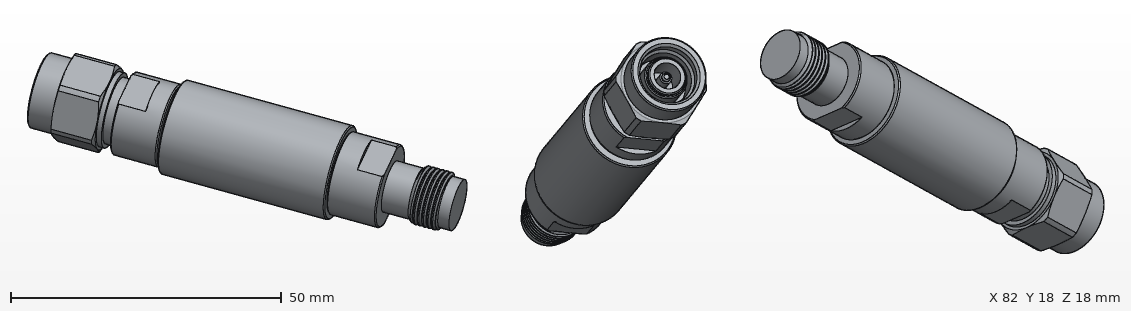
import cadquery as cq
import math

TOTAL_LENGTH = 82.0
HEX_START = 5.0
HEX_END = 13.6
NUT_END = 14.6
MALE_BODY_START = 16.6
MALE_FLAT_END = 22.05
MALE_BODY_END = 25.7
SLEEVE_START = 26.2
SLEEVE_END = 59.0
FEMALE_BODY_START = SLEEVE_END
FEMALE_FLAT_START = 63.6
FEMALE_BODY_END = 68.7
THREAD_START = 74.0
THREAD_END = 79.8

NUT_RADIUS = 7.2
HEX_SIDES = 6
HEX_ACROSS_FLATS = 15.6
HEX_CORNER_RADIUS = 8.7
HEX_FRONT_CHAMFER = 0.25
HEX_REAR_CHAMFER = 0.4
HEX_CHAMFER_DEPTH = 0.9
NUT_BORE_RADIUS = 5.0
NUT_RIM_CHAMFER = 0.25
NUT_MOUTH_RADIUS = 5.5
NUT_MOUTH_CHAMFER = 0.5
NUT_MOUTH_DEPTH = 2.0
NUT_MOUTH_TAPER = 0.5

BODY_RADIUS = 7.95
WRENCH_FLAT_WIDTH = 13.9
BODY_EDGE_CHAMFER = 0.25
NECK_RADIUS = 6.4
SPIGOT_RADIUS = NECK_RADIUS
SPIGOT_LENGTH = 3.3
BARREL_RADIUS = 4.9

FERRULE_START = 1.1
FERRULE_RADIUS = 4.1
FERRULE_TIP_RADIUS = 3.4
FERRULE_CHAMFER = 0.25
FERRULE_NOSE_RADIUS = FERRULE_TIP_RADIUS + FERRULE_CHAMFER
FERRULE_NOSE_LENGTH = 0.8
FERRULE_ROOT = 6.6
INSULATOR_RADIUS = 2.55
INSULATOR_START = FERRULE_ROOT
PIN_RADIUS = 1.15
PIN_TIP_RADIUS = 0.8
PIN_TIP_CHAMFER = 0.3
PIN_TIP_LENGTH = 0.6
PIN_START = 1.55
CONTACT_END = MALE_BODY_START

SLEEVE_RADIUS = 9.0
SLEEVE_CHAMFER = 0.25

THREAD_RADIUS = 5.6
THREAD_PITCH = 0.9
THREAD_DEPTH = 0.5
THREAD_GROOVE_WIDTH = 0.65
THREAD_FRONT_CHAMFER = 0.7
THREAD_REAR_CHAMFER = 0.4
THREAD_GROOVE_START = 72.8
THREAD_GROOVE_TURNS = 9
CUT_MARGIN = 0.1


def revolved(profile):
    """Turn an outline of (x, radius) points around the X axis."""
    return cq.Workplane("XY").polyline(profile).close().revolve(360, (0, 0, 0), (1, 0, 0))


def rod(start, end, radius):
    """Solid cylinder along the X axis."""
    return cq.Workplane("YZ").workplane(offset=start).circle(radius).extrude(end - start)


def make_nut():
    """Round nut with a chamfered hexagon and a bore that opens out at the mouth."""
    hex_diameter = HEX_ACROSS_FLATS / math.cos(math.pi / HEX_SIDES)
    hexagon = (
        cq.Workplane("YZ").workplane(offset=HEX_START)
        .polygon(HEX_SIDES, hex_diameter).extrude(HEX_END - HEX_START)
    )
    chamfered_radius = HEX_CORNER_RADIUS - HEX_CHAMFER_DEPTH
    envelope = revolved([
        (HEX_START, 0),
        (HEX_START, chamfered_radius),
        (HEX_START + HEX_FRONT_CHAMFER, HEX_CORNER_RADIUS),
        (HEX_END - HEX_REAR_CHAMFER, HEX_CORNER_RADIUS),
        (HEX_END, chamfered_radius),
        (HEX_END, 0),
    ])
    bore = revolved([
        (0, 0),
        (0, NUT_MOUTH_RADIUS + NUT_MOUTH_CHAMFER),
        (NUT_MOUTH_CHAMFER, NUT_MOUTH_RADIUS),
        (NUT_MOUTH_DEPTH, NUT_MOUTH_RADIUS),
        (NUT_MOUTH_DEPTH + NUT_MOUTH_TAPER, NUT_BORE_RADIUS),
        (NUT_END, NUT_BORE_RADIUS),
        (NUT_END, 0),
    ])
    barrel = rod(0, NUT_END, NUT_RADIUS).faces("<X").chamfer(NUT_RIM_CHAMFER)
    return barrel.union(hexagon.intersect(envelope)).cut(bore)


def cut_wrench_flats(body, start, end):
    """Mill two parallel flats, facing up and down, between two stations."""
    flat_band = cq.Workplane("XY").box(
        end - start, 2 * BODY_RADIUS, 2 * BODY_RADIUS, centered=(False, True, True)
    )
    kept = cq.Workplane("XY").box(
        end - start, 2 * BODY_RADIUS, WRENCH_FLAT_WIDTH, centered=(False, True, True)
    )
    return body.cut(flat_band.cut(kept).translate((start, 0, 0)))


def make_male_body():
    """Stem inside the nut, with a stepped ferrule in front and a spigot into the sleeve behind."""
    body = revolved([
        (FERRULE_START, 0),
        (FERRULE_START, FERRULE_TIP_RADIUS),
        (FERRULE_START + FERRULE_CHAMFER, FERRULE_NOSE_RADIUS),
        (FERRULE_START + FERRULE_NOSE_LENGTH, FERRULE_NOSE_RADIUS),
        (FERRULE_START + FERRULE_NOSE_LENGTH, FERRULE_RADIUS - FERRULE_CHAMFER),
        (FERRULE_START + FERRULE_NOSE_LENGTH + FERRULE_CHAMFER, FERRULE_RADIUS),
        (FERRULE_ROOT, FERRULE_RADIUS),
        (FERRULE_ROOT, NUT_BORE_RADIUS),
        (NUT_END, NUT_BORE_RADIUS),
        (NUT_END, NECK_RADIUS),
        (MALE_BODY_START, NECK_RADIUS),
        (MALE_BODY_START, BODY_RADIUS - BODY_EDGE_CHAMFER),
        (MALE_BODY_START + BODY_EDGE_CHAMFER, BODY_RADIUS),
        (MALE_BODY_END - BODY_EDGE_CHAMFER, BODY_RADIUS),
        (MALE_BODY_END, BODY_RADIUS - BODY_EDGE_CHAMFER),
        (MALE_BODY_END, SPIGOT_RADIUS),
        (SLEEVE_START + SPIGOT_LENGTH, SPIGOT_RADIUS),
        (SLEEVE_START + SPIGOT_LENGTH, 0),
    ])
    body = cut_wrench_flats(body, MALE_BODY_START, MALE_FLAT_END)
    return body.cut(rod(FERRULE_START, CONTACT_END, INSULATOR_RADIUS))


def make_insulator():
    """Bead that fills the ferrule bore behind its open mouth and carries the pin."""
    return rod(INSULATOR_START, CONTACT_END, INSULATOR_RADIUS).cut(
        rod(INSULATOR_START, CONTACT_END, PIN_RADIUS)
    )


def make_pin():
    """Centre contact with a thinner, chamfered tip."""
    return revolved([
        (PIN_START, 0),
        (PIN_START, PIN_TIP_RADIUS - PIN_TIP_CHAMFER),
        (PIN_START + PIN_TIP_CHAMFER, PIN_TIP_RADIUS),
        (PIN_START + PIN_TIP_LENGTH, PIN_TIP_RADIUS),
        (PIN_START + PIN_TIP_LENGTH, PIN_RADIUS),
        (CONTACT_END, PIN_RADIUS),
        (CONTACT_END, 0),
    ])


def make_sleeve():
    """Central cylinder with a socket at each end for the connector spigots."""
    sleeve = rod(SLEEVE_START, SLEEVE_END, SLEEVE_RADIUS).edges("%CIRCLE").chamfer(SLEEVE_CHAMFER)
    male_socket = rod(SLEEVE_START, SLEEVE_START + SPIGOT_LENGTH, SPIGOT_RADIUS)
    female_socket = rod(SLEEVE_END - SPIGOT_LENGTH, SLEEVE_END, SPIGOT_RADIUS)
    return sleeve.cut(male_socket).cut(female_socket)


def make_groove_turn():
    """One left-hand turn of a V groove around Z, ruled between one helix per corner of the V."""
    root_radius = THREAD_RADIUS - THREAD_DEPTH
    outer_radius = THREAD_RADIUS + CUT_MARGIN
    half_width = THREAD_GROOVE_WIDTH / 2 * (outer_radius - root_radius) / THREAD_DEPTH
    corners = [(root_radius, 0), (outer_radius, half_width), (outer_radius, -half_width)]
    helices = [
        cq.Wire.makeHelix(THREAD_PITCH, THREAD_PITCH, radius, center=cq.Vector(0, 0, height), lefthand=True)
        for radius, height in corners
    ]
    flanks = [
        cq.Face.makeRuledSurface(helix, helices[i - 1])
        for i, helix in enumerate(helices)
    ]
    ends = [
        cq.Face.makeFromWires(cq.Wire.makePolygon([helix.positionAt(end) for helix in helices], close=True))
        for end in (0, 1)
    ]
    groove = cq.Solid.makeSolid(cq.Shell.makeShell(flanks + ends))
    return cq.Workplane(groove.translate(cq.Vector(0, 0, THREAD_GROOVE_START)))


def make_threaded_band():
    """Chamfered band with its helical groove, cut around Z and then laid along X."""
    band = (
        cq.Workplane("XZ")
        .polyline([
            (0, THREAD_START),
            (BARREL_RADIUS, THREAD_START),
            (THREAD_RADIUS, THREAD_START + THREAD_FRONT_CHAMFER),
            (THREAD_RADIUS, THREAD_END - THREAD_REAR_CHAMFER),
            (BARREL_RADIUS, THREAD_END),
            (0, THREAD_END),
        ])
        .close()
        .revolve(360, (0, 0, 0), (0, 1, 0))
    )
    groove_turn = make_groove_turn()
    for turn in range(THREAD_GROOVE_TURNS):
        band = band.cut(groove_turn.translate((0, 0, turn * THREAD_PITCH)))
    return band.rotate((0, 0, 0), (0, 1, 0), 90)


def make_female_body():
    """Flatted body with a spigot behind and a threaded barrel in front."""
    body = revolved([
        (SLEEVE_END - SPIGOT_LENGTH, 0),
        (SLEEVE_END - SPIGOT_LENGTH, SPIGOT_RADIUS),
        (FEMALE_BODY_START, SPIGOT_RADIUS),
        (FEMALE_BODY_START, BODY_RADIUS - BODY_EDGE_CHAMFER),
        (FEMALE_BODY_START + BODY_EDGE_CHAMFER, BODY_RADIUS),
        (FEMALE_BODY_END - BODY_EDGE_CHAMFER, BODY_RADIUS),
        (FEMALE_BODY_END, BODY_RADIUS - BODY_EDGE_CHAMFER),
        (FEMALE_BODY_END, 0),
    ])
    body = cut_wrench_flats(body, FEMALE_FLAT_START, FEMALE_BODY_END)
    barrel = rod(FEMALE_BODY_END, TOTAL_LENGTH, BARREL_RADIUS)
    return body.union(barrel).union(make_threaded_band())


nut = make_nut()
male_body = make_male_body()
insulator = make_insulator()
pin = make_pin()
sleeve = make_sleeve()
female_body = make_female_body()

result = cq.Compound.makeCompound([
    nut.solids().val(),
    male_body.solids().val(),
    insulator.solids().val(),
    pin.solids().val(),
    sleeve.solids().val(),
    female_body.solids().val(),
])